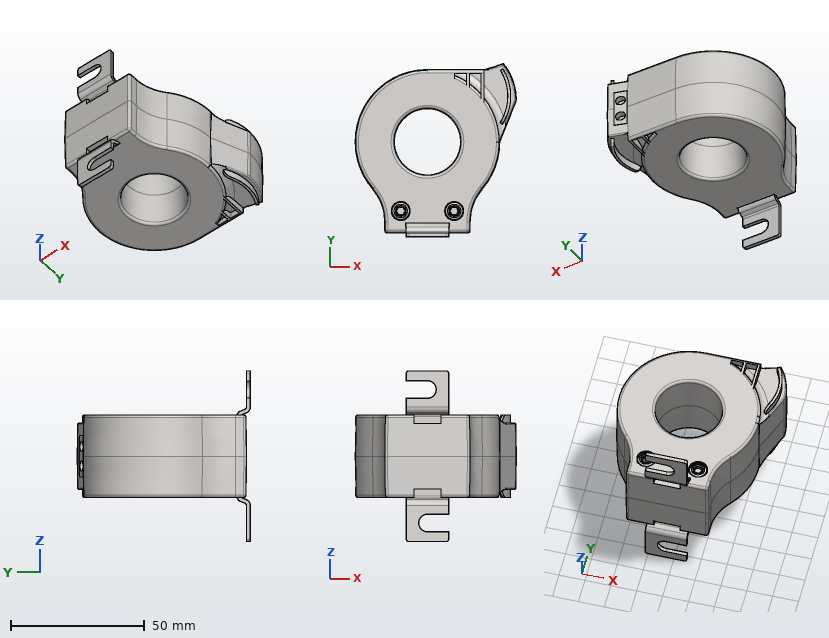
import math

import cadquery as cq

HALF_HEIGHT = 15.5
DRAFT_ANGLE = 0.9
BODY_RADIUS = 27.1
BORE_RADIUS = 12.4
EDGE_RADIUS = 1.0
FOOT_HALF_WIDTH = 16.0
FOOT_FRONT_Y = -34.2
FOOT_SIDE_TOP_Y = -30.0

FLANGE_TOP_Z = 12.4
FLANGE_EDGE_RADIUS = 0.5
FLANGE_TOP_START = (20.7, 27.0)
FLANGE_TIP = (28.5, 29.31)
FLANGE_RIM_MID = (31.55, 24.2)
FLANGE_CORNER = (33.32, 15.5)
FLANGE_CORNER_RADIUS = 3.5
FLANGE_INNER_POINT = (18.0, 18.0)
FLANGE_HOLE_RADIUS = 1.9
FLANGE_HOLE_DEPTH = 3.0
REAR_FACE_CENTRE_Y = 27.9
REAR_RECESS_LENGTH = 5.0
REAR_RECESS_HEIGHT = 15.4
REAR_RECESS_DEPTH = 0.25
FLANGE_HOLE_Z = 3.65
STEP_FILLET_END_RADIUS = 30.0
CUT_MARGIN = 1.0
CUT_REACH = 50.0
CORNER_WALL_X = 21.1

POCKET_SPANS = ((10.1, 14.7), (15.8, 20.1))
POCKET_REAR_Y = 25.6
POCKET_CORNER_RADIUS = 0.3

RIDGE_CENTRE = (11.9, 17.1)
RIDGE_INNER_RADIUS = 18.2
RIDGE_THICKNESS = 1.1
RIDGE_START_ANGLE = -33.0
RIDGE_END_ANGLE = 32.0
RIDGE_FRONT_ROUND = 3.0
RIDGE_REAR_ROUND = 1.0

SCREW_X = 10.0
SCREW_Y = -25.9
SCREW_RECESS_RADIUS = 3.55
SCREW_HEAD_RADIUS = 3.25
SCREW_CROWN_RADIUS = 2.5
SCREW_RECESS_DEPTH = 1.0
SCREW_CROWN_HEIGHT = 0.3
SOCKET_ACROSS_CORNERS = 3.2
SOCKET_LEAD_IN_RADIUS = 2.0
SOCKET_LEAD_IN_DEPTH = 0.4
SOCKET_DEPTH = 1.5

SHEET = 1.5
BRACKET_HALF_WIDTH = 8.0
BRACKET_TOP_Z = 32.0
BRACKET_FACE_Y = -35.6
TONGUE_FACE_Y = -31.95
BRACKET_LEG_SLOPE = 22.0
BEND_INNER_RADIUS = 0.8
BEND_OUTER_RADIUS = BEND_INNER_RADIUS + SHEET
LEG_MID_Z = 16.6
BRACKET_CORNER_RADIUS = 1.0
SLOT_WIDTH = 6.5
SLOT_Z = 25.0

SEAT_FLOOR_Z = 12.3
SEAT_CLEARANCE = 0.2
WINDOW_HALF_WIDTH = 5.1

DRAFT_INSET = HALF_HEIGHT * math.tan(math.radians(DRAFT_ANGLE))


def housing_half():
    """Upper half of the housing, drafted upward, with a square rear corner."""
    radius_gap = BODY_RADIUS - FOOT_HALF_WIDTH
    neck_radius = (FOOT_HALF_WIDTH**2 + FOOT_SIDE_TOP_Y**2 - BODY_RADIUS**2) / (2 * radius_gap)
    neck_x = FOOT_HALF_WIDTH + neck_radius
    blend = BODY_RADIUS / (BODY_RADIUS + neck_radius)
    blend_x, blend_y = neck_x * blend, FOOT_SIDE_TOP_Y * blend
    neck_mid_angle = math.atan2(-FOOT_SIDE_TOP_Y, neck_x) / 2
    neck_mid_x = neck_x - neck_radius * math.cos(neck_mid_angle)
    neck_mid_y = FOOT_SIDE_TOP_Y + neck_radius * math.sin(neck_mid_angle)
    low_angle = math.atan2(-blend_y, blend_x) / 2
    low_mid = (BODY_RADIUS * math.cos(low_angle), -BODY_RADIUS * math.sin(low_angle))

    half = (
        cq.Workplane("XY")
        .moveTo(0, BODY_RADIUS)
        .lineTo(BODY_RADIUS, BODY_RADIUS)
        .lineTo(BODY_RADIUS, 0)
        .threePointArc(low_mid, (blend_x, blend_y))
        .threePointArc((neck_mid_x, neck_mid_y), (FOOT_HALF_WIDTH, FOOT_SIDE_TOP_Y))
        .lineTo(FOOT_HALF_WIDTH, FOOT_FRONT_Y)
        .lineTo(-FOOT_HALF_WIDTH, FOOT_FRONT_Y)
        .lineTo(-FOOT_HALF_WIDTH, FOOT_SIDE_TOP_Y)
        .threePointArc((-neck_mid_x, neck_mid_y), (-blend_x, blend_y))
        .threePointArc((-BODY_RADIUS, 0), (0, BODY_RADIUS))
        .close()
        .extrude(HALF_HEIGHT, taper=DRAFT_ANGLE)
    )
    foot_corners = cq.selectors.BoxSelector(
        (-BODY_RADIUS, FOOT_FRONT_Y - CUT_MARGIN, CUT_MARGIN),
        (BODY_RADIUS, FOOT_FRONT_Y + CUT_MARGIN, HALF_HEIGHT - CUT_MARGIN),
    )
    half = half.edges(foot_corners).fillet(EDGE_RADIUS)
    bore = cq.Workplane("XY").circle(BORE_RADIUS).extrude(HALF_HEIGHT, taper=-DRAFT_ANGLE)
    return half.cut(bore).faces(">Z").edges().fillet(EDGE_RADIUS)


def step_ring():
    """Ring outside the round body above the flange, bounded by the rounded step."""
    wall_radius = BODY_RADIUS - DRAFT_INSET
    edge_centre = (wall_radius - EDGE_RADIUS, HALF_HEIGHT - EDGE_RADIUS)
    diagonal = EDGE_RADIUS * math.sqrt(0.5)
    return (
        cq.Workplane("XZ")
        .moveTo(CUT_REACH, FLANGE_TOP_Z)
        .lineTo(STEP_FILLET_END_RADIUS, FLANGE_TOP_Z)
        .tangentArcPoint((wall_radius, edge_centre[1]), relative=False)
        .threePointArc((edge_centre[0] + diagonal, edge_centre[1] + diagonal), (edge_centre[0], HALF_HEIGHT))
        .lineTo(edge_centre[0], HALF_HEIGHT + CUT_MARGIN)
        .lineTo(CUT_REACH, HALF_HEIGHT + CUT_MARGIN)
        .close()
        .revolve(360, (0, 0), (0, 1))
    )


def corner_cuts():
    """Open step beyond the corner wall plus the two pockets behind the rear wall."""
    cutter = cq.Workplane("XY").box(CUT_REACH, CUT_REACH, HALF_HEIGHT, centered=False)
    cutter = cutter.translate((CORNER_WALL_X, 0, FLANGE_TOP_Z))
    for left, right in POCKET_SPANS:
        pocket = cq.Workplane("XY").box(right - left, POCKET_REAR_Y, HALF_HEIGHT, centered=False)
        pocket = pocket.edges("|Z").fillet(POCKET_CORNER_RADIUS)
        cutter = cutter.union(pocket.translate((left, 0, FLANGE_TOP_Z)))
    return cutter.intersect(step_ring())


def flange_prism(height):
    """Drafted fan-shaped prism with a rounded side corner."""
    return (
        cq.Workplane("XY")
        .moveTo(*FLANGE_TOP_START)
        .lineTo(*FLANGE_TIP)
        .threePointArc(FLANGE_RIM_MID, FLANGE_CORNER)
        .lineTo(BODY_RADIUS, 0)
        .lineTo(*FLANGE_INNER_POINT)
        .close()
        .extrude(height, taper=DRAFT_ANGLE)
        .edges(cq.selectors.NearestToPointSelector((*FLANGE_CORNER, height / 2)))
        .fillet(FLANGE_CORNER_RADIUS)
    )


def flange_half():
    """Upper half of the flange with a rounded rim."""
    return flange_prism(FLANGE_TOP_Z).faces(">Z").edges().fillet(FLANGE_EDGE_RADIUS)


def rear_face_plane(z):
    """Plane on the sloped rear face of the flange, pointing into the flange."""
    run_x = FLANGE_TIP[0] - FLANGE_TOP_START[0]
    run_y = FLANGE_TIP[1] - FLANGE_TOP_START[1]
    centre_x = FLANGE_TOP_START[0] + run_x * (REAR_FACE_CENTRE_Y - FLANGE_TOP_START[1]) / run_y
    return cq.Plane(
        origin=(centre_x, REAR_FACE_CENTRE_Y, z),
        xDir=(run_x, run_y, 0),
        normal=(run_y, -run_x, 0),
    )


def rear_face_hole():
    """Blind round hole square to the rear face of the flange."""
    start = cq.Workplane(rear_face_plane(FLANGE_HOLE_Z)).workplane(offset=-CUT_MARGIN)
    return start.circle(FLANGE_HOLE_RADIUS).extrude(FLANGE_HOLE_DEPTH + CUT_MARGIN)


def rear_face_recess():
    """Shallow rectangular recess around the two rear face holes."""
    start = cq.Workplane(rear_face_plane(0)).workplane(offset=-CUT_MARGIN)
    return start.rect(REAR_RECESS_LENGTH, REAR_RECESS_HEIGHT).extrude(REAR_RECESS_DEPTH + CUT_MARGIN)


def step_blank():
    """Block between the round body and the flange from which the step fillet is cut."""
    base_z = FLANGE_TOP_Z - FLANGE_EDGE_RADIUS
    disc = cq.Workplane("XY", origin=(0, 0, base_z)).circle(STEP_FILLET_END_RADIUS)
    disc = disc.extrude(HALF_HEIGHT - base_z)
    return flange_prism(HALF_HEIGHT).intersect(disc)


def ridge():
    """Curved grip ridge from the flange up to the level of the top face."""

    def polar(radius, degrees):
        angle = math.radians(degrees)
        return (RIDGE_CENTRE[0] + radius * math.cos(angle), RIDGE_CENTRE[1] + radius * math.sin(angle))

    inner = RIDGE_INNER_RADIUS
    outer = inner + RIDGE_THICKNESS
    middle = (RIDGE_START_ANGLE + RIDGE_END_ANGLE) / 2
    base_z = FLANGE_TOP_Z - CUT_MARGIN
    wall = (
        cq.Workplane("XY", origin=(0, 0, base_z))
        .moveTo(*polar(inner, RIDGE_START_ANGLE))
        .threePointArc(polar(inner, middle), polar(inner, RIDGE_END_ANGLE))
        .lineTo(*polar(outer, RIDGE_END_ANGLE))
        .threePointArc(polar(outer, middle), polar(outer, RIDGE_START_ANGLE))
        .close()
        .extrude(HALF_HEIGHT - base_z)
    )
    end_rounds = ((RIDGE_START_ANGLE, RIDGE_FRONT_ROUND), (RIDGE_END_ANGLE, RIDGE_REAR_ROUND))
    for end_angle, radius in end_rounds:
        end_point = (*polar((inner + outer) / 2, end_angle), HALF_HEIGHT)
        wall = wall.edges(cq.selectors.NearestToPointSelector(end_point)).fillet(radius)
    return wall


def bracket_seat():
    """Pocket for the bracket tongue with a narrower window through the front wall."""
    half_width = BRACKET_HALF_WIDTH + SEAT_CLEARANCE
    height = HALF_HEIGHT - SEAT_FLOOR_Z
    seat = cq.Workplane("XY").box(2 * half_width, SHEET, height, centered=(True, False, False))
    seat = seat.translate((0, TONGUE_FACE_Y, SEAT_FLOOR_Z))
    window_depth = TONGUE_FACE_Y - FOOT_FRONT_Y
    window_width = 2 * WINDOW_HALF_WIDTH
    window = cq.Workplane("XY").box(window_width, window_depth, height, centered=(True, False, False))
    return seat.union(window.translate((0, FOOT_FRONT_Y, SEAT_FLOOR_Z)))


def bracket():
    """Upper bracket: tongue in the housing, sloped leg and slotted plate."""
    slope = math.radians(BRACKET_LEG_SLOPE)
    leg_rise = (TONGUE_FACE_Y - BRACKET_FACE_Y) / 2 * math.tan(slope)
    miter = SHEET / 2 * math.tan((math.pi / 2 - slope) / 2)
    tongue_front = (TONGUE_FACE_Y, LEG_MID_Z - leg_rise - miter)
    tongue_back = (TONGUE_FACE_Y + SHEET, LEG_MID_Z - leg_rise + miter)
    plate_front = (BRACKET_FACE_Y, LEG_MID_Z + leg_rise - miter)
    plate_back = (BRACKET_FACE_Y + SHEET, LEG_MID_Z + leg_rise + miter)
    strip = (
        cq.Workplane("YZ")
        .moveTo(TONGUE_FACE_Y, SEAT_FLOOR_Z)
        .lineTo(*tongue_front)
        .lineTo(*plate_front)
        .lineTo(BRACKET_FACE_Y, BRACKET_TOP_Z)
        .lineTo(BRACKET_FACE_Y + SHEET, BRACKET_TOP_Z)
        .lineTo(*plate_back)
        .lineTo(*tongue_back)
        .lineTo(TONGUE_FACE_Y + SHEET, SEAT_FLOOR_Z)
        .close()
        .extrude(BRACKET_HALF_WIDTH, both=True)
    )
    bends = (
        (tongue_front, BEND_INNER_RADIUS),
        (tongue_back, BEND_OUTER_RADIUS),
        (plate_front, BEND_OUTER_RADIUS),
        (plate_back, BEND_INNER_RADIUS),
    )
    for corner, radius in bends:
        strip = strip.edges(cq.selectors.NearestToPointSelector((0, *corner))).fillet(radius)
    strip = strip.edges("|Y and >Z").fillet(BRACKET_CORNER_RADIUS)

    slot_plane = cq.Workplane("XZ", origin=(0, 0, SLOT_Z))
    slot_run = slot_plane.center(-BRACKET_HALF_WIDTH, 0).rect(2 * BRACKET_HALF_WIDTH, SLOT_WIDTH)
    slot_run = slot_run.extrude(CUT_REACH)
    slot_end = slot_plane.circle(SLOT_WIDTH / 2).extrude(CUT_REACH)
    return strip.cut(slot_run).cut(slot_end)


def screw_recess(x):
    """Recess around one screw head."""
    recess = cq.Workplane("XY").circle(SCREW_RECESS_RADIUS).extrude(SCREW_RECESS_DEPTH)
    return recess.translate((x, SCREW_Y, HALF_HEIGHT - SCREW_RECESS_DEPTH))


def screw_head(x):
    """Crowned screw head, flush with the top face."""
    crown_slant = SCREW_HEAD_RADIUS - SCREW_CROWN_RADIUS
    head = (
        cq.Workplane("XY")
        .circle(SCREW_HEAD_RADIUS)
        .extrude(SCREW_RECESS_DEPTH)
        .faces(">Z")
        .chamfer(SCREW_CROWN_HEIGHT, crown_slant)
    )
    return head.translate((x, SCREW_Y, HALF_HEIGHT - SCREW_RECESS_DEPTH))


def screw_socket(x):
    """Hexagon socket of one screw with a conical lead-in."""
    socket = cq.Workplane("XY").polygon(6, SOCKET_ACROSS_CORNERS).extrude(SOCKET_DEPTH)
    floor_radius = SOCKET_ACROSS_CORNERS / 2
    lead_in = (
        cq.Workplane("XY", origin=(0, 0, SOCKET_DEPTH))
        .circle(SOCKET_LEAD_IN_RADIUS)
        .workplane(offset=-SOCKET_LEAD_IN_DEPTH)
        .circle(floor_radius)
        .loft()
    )
    return socket.union(lead_in).translate((x, SCREW_Y, HALF_HEIGHT - SOCKET_DEPTH))


upper = housing_half().union(step_blank()).cut(corner_cuts())
upper = upper.union(flange_half()).union(ridge())
upper = upper.cut(rear_face_recess()).cut(rear_face_hole()).cut(bracket_seat())
housing = upper.union(upper.mirror("XY"))

for screw_x in (-SCREW_X, SCREW_X):
    housing = housing.cut(screw_recess(screw_x)).union(screw_head(screw_x)).cut(screw_socket(screw_x))

upper_bracket = bracket()
lower_bracket = upper_bracket.rotate((0, 0, 0), (0, 1, 0), 180)
result = housing.union(upper_bracket).union(lower_bracket)